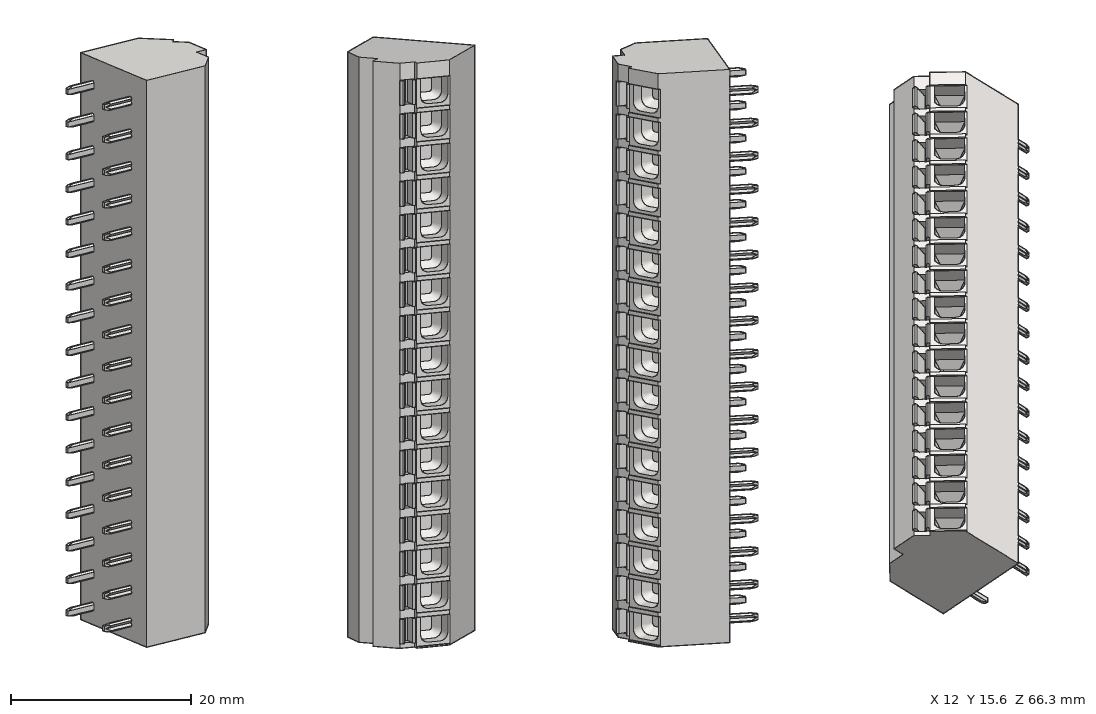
import cadquery as cq
import math

height = 66.3
pole_count = 17
pole_pitch = 3.81
first_pole_z = 2.0
pole_centres = [first_pole_z + i * pole_pitch for i in range(pole_count)]

width = 12.0
depth = 11.65
entry_bevel = 3.6
notch_start = 2.8
notch_step = 0.45
ledge_x = 7.7
ledge_drop = 1.4
far_bevel = 2.1

recess_height = 3.3
recess_offset = 0.25
recess_z_shift = -0.165

entry_height = 2.9
entry_top_edge = 1.25
entry_bottom_edge = -3.45
entry_corner = 1.0
mouth_depth = 1.65
funnel_depth = 1.25
funnel_inset = 0.65

lip_height = 2.8
lower_lip_drop = 0.65
lower_lip_start = 2.9
lower_lip_end = 3.25
upper_lip_rise = 0.25
upper_lip_start = 4.0
upper_lip_end = 4.45
lip_lean = 0.05
lip_root = 0.5
slot_lean = 0.3
slot_depth = 1.65

pin_columns = ((2.2, -1), (9.0, 1))
pin_width = 0.6
pin_height = 1.0
pin_corner = 0.2
pin_groove = 0.165
pin_z_shift = 0.1
pin_length = 3.65
pin_root = 0.3
tip_length = 0.8
tip_bevel = 0.2


def prism(points, z_centre, z_height):
    """Extrude an XY outline symmetrically about z_centre."""
    base = cq.Workplane("XY").workplane(offset=z_centre - z_height / 2)
    return base.polyline(points).close().extrude(z_height)


def slope_point(edge, offset):
    """Point where x + y = edge (y from the top face) meets the entry face shifted down by offset."""
    x = (edge + entry_bevel + offset) / 2
    return x, depth + edge - x


def make_housing():
    ridge_y = depth - entry_bevel + notch_start
    valley_x = notch_start + notch_step
    valley_y = ridge_y - notch_step
    outline = [
        (0, 0),
        (width, 0),
        (width, depth - ledge_drop - far_bevel),
        (width - far_bevel, depth - ledge_drop),
        (ledge_x, depth - ledge_drop),
        (ledge_x, depth),
        (valley_x + depth - valley_y, depth),
        (valley_x, valley_y),
        (notch_start, ridge_y),
        (0, depth - entry_bevel),
    ]
    return prism(outline, height / 2, height)


def make_recess():
    low_y = depth - entry_bevel - recess_offset
    reach = notch_start + notch_step
    outline = [(0, low_y), (reach, low_y + reach), (0, low_y + reach)]
    return prism(outline, recess_z_shift, recess_height)


def entry_section(plane, length, inset):
    """Entry hole section: square top corners, rounded bottom corners, every side moved in by inset."""
    left = inset - length / 2
    right = length / 2 - inset
    bottom = inset - entry_height / 2
    top = entry_height / 2 - inset
    radius = entry_corner - inset
    bend = radius * (1 - math.sqrt(0.5))
    return (
        plane.moveTo(right, top)
        .lineTo(right, bottom + radius)
        .threePointArc((right - bend, bottom + bend), (right - radius, bottom))
        .lineTo(left + radius, bottom)
        .threePointArc((left + bend, bottom + bend), (left, bottom + radius))
        .lineTo(left, top)
        .close()
    )


def make_entry_hole():
    x, y = slope_point((entry_top_edge + entry_bottom_edge) / 2, recess_offset)
    frame = cq.Plane(origin=(x, y, 0), xDir=(-1, -1, 0), normal=(-1, 1, 0))
    length = (entry_top_edge - entry_bottom_edge) / math.sqrt(2)
    mouth = entry_section(cq.Workplane(frame), length, 0).extrude(-mouth_depth)
    funnel = entry_section(cq.Workplane(frame).workplane(offset=-mouth_depth), length, 0)
    funnel = entry_section(funnel.workplane(offset=-funnel_depth), length, funnel_inset)
    return mouth.union(funnel.loft(ruled=True))


def make_lips():
    upper_y = depth + upper_lip_rise
    lower_y = depth - lower_lip_drop
    lower = [
        (lower_lip_start, lower_y),
        (lower_lip_end, lower_y),
        (lower_lip_end + lip_root, lower_y - lip_root),
        (lower_lip_start, lower_y - lip_root),
    ]
    upper = [
        (upper_lip_start + lip_lean, upper_y),
        (upper_lip_end, upper_y),
        (upper_lip_end, depth - lip_root),
        (upper_lip_start + slot_lean * lip_root, depth - lip_root),
        (upper_lip_start, depth),
    ]
    return prism(lower, 0, lip_height).union(prism(upper, 0, lip_height))


def make_slot():
    """Slot into the notch slope that continues the facing walls of the two lips."""
    lower_y = depth - lower_lip_drop
    floor_y = depth - slot_depth
    outline = [
        (lower_lip_end, lower_y),
        (lower_lip_end + lower_y - floor_y, floor_y),
        (upper_lip_start + slot_lean * slot_depth, floor_y),
        (upper_lip_start, depth),
    ]
    return prism(outline, 0, lip_height)


def make_pin(x, outer_side):
    """Pin with bevelled corners, a V groove along its outer side and a bevelled tip."""
    half_height = pin_height / 2
    outer = outer_side * pin_width / 2
    inner = -outer
    corner = outer_side * pin_corner
    section = [
        (outer - outer_side * pin_groove, 0),
        (outer, half_height - pin_corner),
        (outer - corner, half_height),
        (inner + corner, half_height),
        (inner, half_height - pin_corner),
        (inner, pin_corner - half_height),
        (inner + corner, -half_height),
        (outer - corner, -half_height),
        (outer, pin_corner - half_height),
    ]
    frame = cq.Workplane("XZ", origin=(x, pin_root, pin_z_shift))
    pin = frame.polyline(section).close().extrude(pin_length + pin_root)
    shank_y = tip_length - pin_length
    side_bevel = [
        (x + outer, shank_y),
        (x + outer, -pin_length),
        (x + outer - outer_side * tip_bevel, -pin_length),
    ]
    pin = pin.cut(prism(side_bevel, pin_z_shift, pin_height))
    for end in (-1, 1):
        edge_z = pin_z_shift + end * half_height
        end_bevel = [
            (shank_y, edge_z),
            (-pin_length, edge_z),
            (-pin_length, edge_z - end * tip_bevel),
        ]
        wedge = cq.Workplane("YZ", origin=(x, 0, 0)).polyline(end_bevel).close()
        pin = pin.cut(wedge.extrude(pin_width / 2, both=True))
    return pin


def at_poles(feature):
    """Copies of a feature drawn at z = 0, one at each pole."""
    copies = [feature.val().translate(cq.Vector(0, 0, z)) for z in pole_centres]
    return cq.Workplane(cq.Compound.makeCompound(copies))


result = (
    make_housing()
    .cut(at_poles(make_recess()))
    .union(at_poles(make_lips()))
    .cut(at_poles(make_slot()))
    .cut(at_poles(make_entry_hole()))
)
for pin_x, side in pin_columns:
    result = result.union(at_poles(make_pin(pin_x, side)))